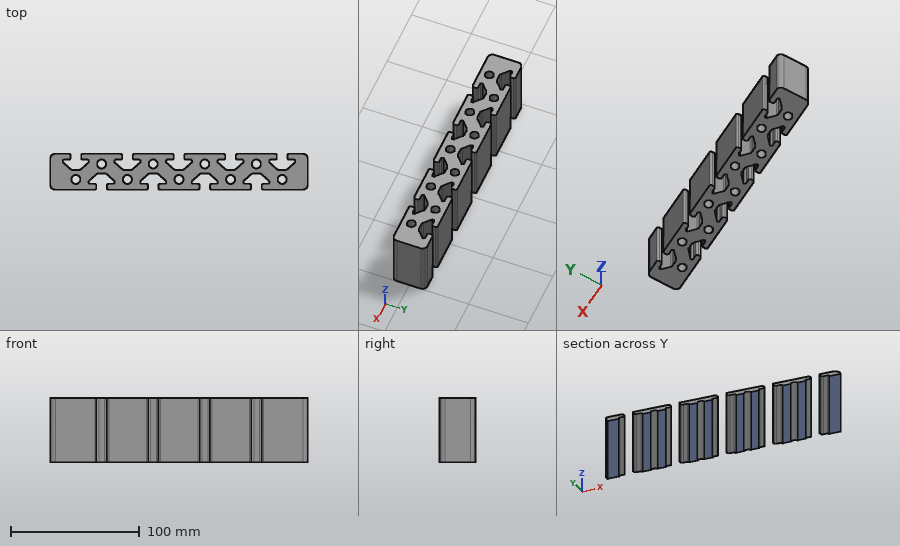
import cadquery as cq
import math

length = 200.0
depth = 28.0
height = 50.0
corner_radius = 4.0

slot_pitch = 40.0
back_slot_count = 5
front_slot_count = back_slot_count - 1
mouth_width = 8.0
lip_thickness = 4.7
lip_radius = 1.5
cavity_width = 20.0
cavity_side = 1.9
cavity_radius = 1.0
slot_depth = 12.6
floor_width = 4.4
flank_angle = 42.0

channel_diameter = 6.8
channel_inset = 8.0


def row_positions(count):
    """X positions of a centred row of slots."""
    return [(i - (count - 1) / 2) * slot_pitch for i in range(count)]


def make_bar():
    bar = cq.Workplane("XY").rect(length, depth).extrude(height)
    return bar.edges("|Z").fillet(corner_radius)


def arc_bulge(radius):
    """Offset of a quarter arc's midpoint from each of the two sides it joins."""
    return radius * (1 - math.sqrt(0.5))


def make_slot():
    """T-slot cutter opening through the +Y face, centred on X = 0."""
    face_y = depth / 2
    lip_y = face_y - lip_thickness
    side_y = lip_y - cavity_side
    floor_y = face_y - slot_depth
    half_mouth = mouth_width / 2
    half_cavity = cavity_width / 2
    half_floor = floor_width / 2

    round_x = half_mouth + lip_radius
    lip_mid_x = half_mouth + arc_bulge(lip_radius)
    face_arc_mid = (lip_mid_x, face_y - arc_bulge(lip_radius))
    lip_arc_mid = (lip_mid_x, lip_y + arc_bulge(lip_radius))

    cavity_bulge = arc_bulge(cavity_radius)
    cavity_arc_mid = (half_cavity - cavity_bulge, lip_y - cavity_bulge)

    angle = math.radians(flank_angle)
    foot_x = half_cavity - (side_y - floor_y) / math.tan(angle)
    tangent_length = foot_x - half_floor
    blend_radius = tangent_length / math.tan(angle / 2)
    blend_start = (
        foot_x + tangent_length * math.cos(angle),
        floor_y + tangent_length * math.sin(angle),
    )
    blend_mid = (
        half_floor + blend_radius * math.sin(angle / 2),
        floor_y + blend_radius * (1 - math.cos(angle / 2)),
    )

    outline = (
        cq.Workplane("XY")
        .moveTo(0, face_y)
        .lineTo(round_x, face_y)
        .threePointArc(face_arc_mid, (half_mouth, face_y - lip_radius))
        .lineTo(half_mouth, lip_y + lip_radius)
        .threePointArc(lip_arc_mid, (round_x, lip_y))
        .lineTo(half_cavity - cavity_radius, lip_y)
        .threePointArc(cavity_arc_mid, (half_cavity, lip_y - cavity_radius))
        .lineTo(half_cavity, side_y)
        .lineTo(*blend_start)
        .threePointArc(blend_mid, (half_floor, floor_y))
        .lineTo(0, floor_y)
        .mirrorY()
    )
    return outline.extrude(height)


def cut_slots(bar):
    back_slot = make_slot()
    front_slot = back_slot.rotate((0, 0, 0), (0, 0, 1), 180)
    for x in row_positions(back_slot_count):
        bar = bar.cut(back_slot.translate((x, 0, 0)))
    for x in row_positions(front_slot_count):
        bar = bar.cut(front_slot.translate((x, 0, 0)))
    return bar


def cut_channels(bar):
    channel_y = depth / 2 - channel_inset
    front_row = [(x, -channel_y) for x in row_positions(back_slot_count)]
    back_row = [(x, channel_y) for x in row_positions(front_slot_count)]
    channels = (
        cq.Workplane("XY")
        .pushPoints(front_row + back_row)
        .circle(channel_diameter / 2)
        .extrude(height)
    )
    return bar.cut(channels)


result = cut_channels(cut_slots(make_bar()))